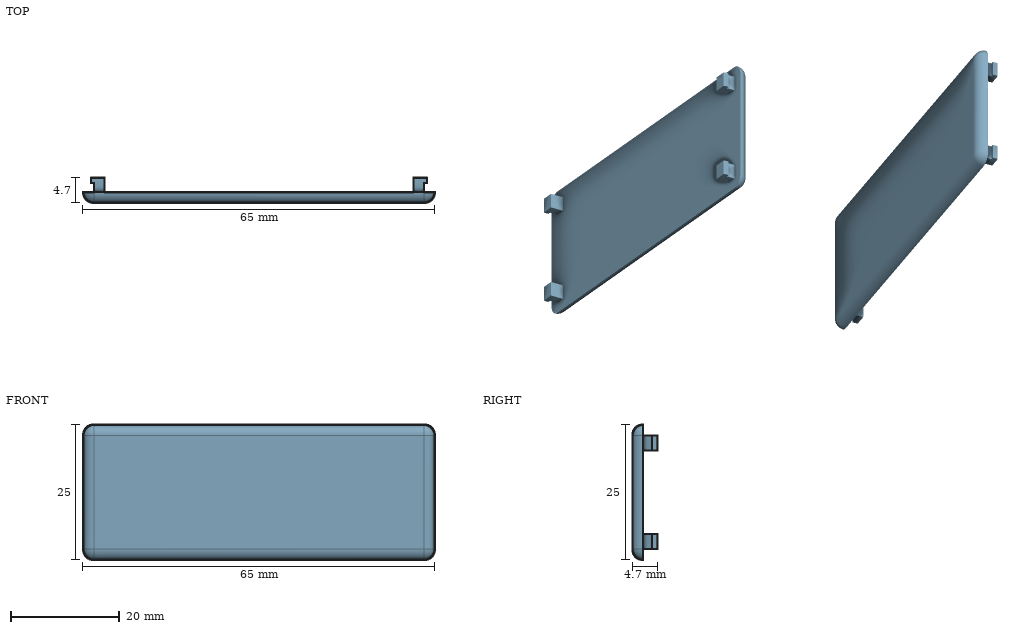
import cadquery as cq

length = 65.0
height = 25.0
total_depth = 4.7
edge_radius = 2.0
plate_thickness = edge_radius

clip_depth = total_depth - plate_thickness
clip_width = 1.95
clip_height = 2.8
lip_overhang = 0.6
lip_thickness = 1.05
lip_radius = 0.25
clip_outer_x = length / 2 - edge_radius
clip_outer_z = height / 2 - edge_radius


def make_plate():
    """Round every edge of a deep block, then keep only its rounded front."""
    block_depth = 4 * edge_radius
    block = (
        cq.Workplane("XY")
        .box(length, block_depth, height)
        .edges()
        .fillet(edge_radius)
        .translate((0, block_depth / 2 - plate_thickness, 0))
    )
    front_half_space = cq.Workplane("XY").box(
        length, plate_thickness, height
    ).translate((0, -plate_thickness / 2, 0))
    return block.intersect(front_half_space)


def make_clip(bottom_z):
    """Hooked clip at the +X end, with its lip pointing outwards."""
    inner_x = clip_outer_x - clip_width
    lip_x = clip_outer_x + lip_overhang
    lip_y = clip_depth - lip_thickness
    return (
        cq.Workplane("XY", origin=(0, 0, bottom_z))
        .moveTo(inner_x, 0)
        .lineTo(clip_outer_x, 0)
        .lineTo(clip_outer_x, lip_y)
        .lineTo(lip_x, lip_y)
        .lineTo(lip_x, clip_depth - lip_radius)
        .radiusArc((lip_x - lip_radius, clip_depth), -lip_radius)
        .lineTo(inner_x, clip_depth)
        .close()
        .extrude(clip_height)
    )


result = make_plate()
for bottom_z in (-clip_outer_z, clip_outer_z - clip_height):
    clip = make_clip(bottom_z)
    result = result.union(clip).union(clip.mirror("YZ"))